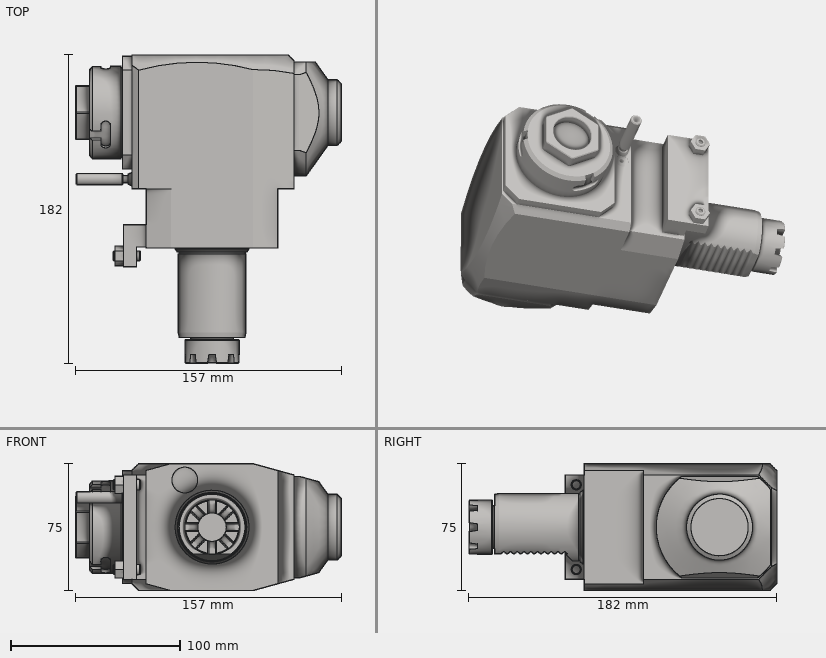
import cadquery as cq
import math


HEIGHT = 75.0
HALF_HEIGHT = HEIGHT / 2
BODY_LEFT = -47.3
BODY_RIGHT = 48.4
BODY_FRONT = 35.0
BODY_BACK = 114.0
BODY_EDGE_CHAMFER = 4.0
CORNER_CHAMFER = 3.4
BASE_HALF_WIDTH = 38.9
BEVEL_START_X = 24.2
BEVEL_ANGLE = 15.4
BEVEL_SLOPE = math.tan(math.radians(BEVEL_ANGLE))
BASE_BEVEL_DROP = (BASE_HALF_WIDTH - BEVEL_START_X) * BEVEL_SLOPE
CROWN_RADIUS = 180.0
CROWN_CENTER_X = -9.0
CROWN_DEPTH = 4.3
PLUG_X = -16.1
PLUG_Z = 27.8
PLUG_RADIUS = 7.6
PLUG_DEPTH = 0.8

SPINDLE_Y = 80.0
PLATE_SIDE = 66.8
PLATE_LEFT = -52.9
PLATE_CHAMFER = 8.3
COLLAR_LEFT = -72.4
COLLAR_RIGHT = -53.8
COLLAR_RADIUS = 27.4
COLLAR_CHAMFER_LENGTH = 1.8
COLLAR_CHAMFER_DEPTH = 2.1
COLLAR_NECK_RADIUS = 26.6
SLOT_X = -62.8
SLOT_WIDTH = 5.6
SLOT_LENGTH = 18.3
SLOT_DEPTH = 2.2
SLOT_COUNT = 3
NOTCH_WIDTH = 6.0
HEX_LEFT = -80.6
HEX_FLATS = 32.0
HEX_CHAMFER = 0.5
HEX_CORNER_RADIUS = 18.2
BORE_RADIUS = 11.6
BORE_CHAMFER = 0.4
BORE_DEPTH = 6.0

COVER_HALF_HEIGHT = 30.0
COVER_BACK = 110.0
COVER_RADIUS = 37.4
COVER_BEVEL_X = 51.6
COVER_RIM_X = 55.6
COVER_NECK_X = 68.3
COVER_TIP_X = 76.4
COVER_NECK_RADIUS = 19.5
COVER_TIP_CHAMFER = 2.6

FLANGE_RADIUS = 21.8
FLANGE_STRAIGHT = 0.6
FLANGE_LENGTH = 2.4
FLANGE_END_RADIUS = 20.5
RELIEF_RADIUS = 19.7
RELIEF_END = 3.4
SHANK_RADIUS = 20.0
SHANK_LENGTH = 52.8
SHANK_CHAMFER_LENGTH = 2.8
SHANK_CHAMFER_DEPTH = 0.6
RACK_FLAT_Z = -15.8
RACK_RAMP_START = 5.0
RACK_FIRST_GROOVE = 11.4
RACK_PITCH = 4.0
RACK_GROOVES = 10
RACK_GROOVE_DEPTH = 1.4
RACK_GROOVE_WIDTH = 3.4

NUT_NECK_RADIUS = 12.7
NUT_START = 54.0
NUT_END = 68.0
NUT_RADIUS = 16.1
NUT_CHAMFER = 0.5
NUT_SLOT_COUNT = 8
NUT_SLOT_DEPTH = 5.1
NUT_SLOT_MOUTH = 5.4
NUT_SLOT_FLOOR = 3.8
CORE_RADIUS = 8.4
CORE_RECESS = 0.3

PIN_Y = 40.7
PIN_Z = 17.6
PIN_LEFT = -80.2
PIN_RIGHT = -52.6
PIN_RADIUS = 3.4
PIN_CHAMFER = 0.6
PIN_NECK_RADIUS = 2.2
PIN_NECK_END = -49.6
PIN_FOOT_START_RADIUS = 3.0
PIN_FOOT_RADIUS = 4.0
PIN_BORE_RADIUS = 2.2
PIN_BORE_DEPTH = 2.2
SCREW_Z = 10.3
SCREW_RADIUS = 4.0
SCREW_RECESS = 0.2
SCREW_DIMPLE_RADIUS = 1.3
SCREW_DIMPLE_DEPTH = 1.5

BRACKET_LEFT = -52.3
BRACKET_LEG_RIGHT = -44.5
BRACKET_TOP = 13.9
BRACKET_STEP_Y = 0.6
BRACKET_END = -11.1
BRACKET_HALF_HEIGHT = 30.8
BOLT_Y = -4.6
BOLT_Z = 25.0
BOLT_NUT_FLATS = 10.2
BOLT_NUT_LEFT = -57.4
BOLT_LEFT = -58.4
BOLT_RIGHT = -42.2
BOLT_RADIUS = 3.0
BOLT_CHAMFER = 0.6
BOLT_SOCKET_RADIUS = 1.5
BOLT_SOCKET_DEPTH = 1.5

CLEARANCE = 50.0


def revolve_about_x(profile, y, z=0.0):
    """Solid of revolution about an X-parallel axis; profile holds (x, radius) points."""
    solid = cq.Workplane("XY").polyline(profile).close()
    return solid.revolve(360, (0, 0, 0), (1, 0, 0)).translate((0, y, z))


def x_cylinder(x_start, x_end, radius, y, z=0.0):
    plane = cq.Workplane("YZ", origin=(x_start, y, z))
    return plane.circle(radius).extrude(x_end - x_start)


def hexagon_across_flats(x_start, x_end, flats, y, z, rotation):
    """Hexagonal prism along X; rotation in degrees, two corners point along Y at zero."""
    corner_diameter = flats / math.cos(math.pi / 6)
    prism = cq.Workplane("YZ").polygon(6, corner_diameter).extrude(x_end - x_start)
    prism = prism.rotate((0, 0, 0), (1, 0, 0), rotation)
    return prism.translate((x_start, y, z))


def mirrored_outline(upper_points):
    """Close an outline by mirroring its upper points across the first coordinate axis."""
    return upper_points + [(a, -b) for a, b in reversed(upper_points)]


def block(x_start, x_end, y_start, y_end, half_height):
    outline = cq.Workplane("XY").moveTo(x_start, y_start).lineTo(x_end, y_start)
    outline = outline.lineTo(x_end, y_end).lineTo(x_start, y_end).close()
    return outline.extrude(half_height, both=True)


def crown_limit(side):
    """Large cylinder whose wall rounds off the back edge of one face at 45 degrees."""
    plane = cq.Plane(
        origin=(CROWN_CENTER_X, BODY_BACK - CROWN_DEPTH, side * HALF_HEIGHT),
        xDir=(1, 0, 0),
        normal=(0, -side, 1),
    )
    circle = cq.Workplane(plane).center(0, -CROWN_RADIUS).circle(CROWN_RADIUS)
    return circle.extrude(2 * BODY_BACK, both=True)


def make_housing():
    right_drop = (BODY_RIGHT - BEVEL_START_X) * BEVEL_SLOPE
    body_outline = mirrored_outline([
        (BODY_LEFT, HALF_HEIGHT - BODY_EDGE_CHAMFER),
        (BODY_LEFT + BODY_EDGE_CHAMFER, HALF_HEIGHT),
        (BEVEL_START_X, HALF_HEIGHT),
        (BODY_RIGHT, HALF_HEIGHT - right_drop),
    ])
    body = cq.Workplane("XZ", origin=(0, BODY_BACK, 0)).polyline(body_outline).close()
    body = body.extrude(BODY_BACK - BODY_FRONT)
    corner = cq.Workplane("XY").polyline([
        (BODY_RIGHT - CORNER_CHAMFER, BODY_BACK),
        (BODY_RIGHT, BODY_BACK - CORNER_CHAMFER),
        (BODY_RIGHT, BODY_BACK),
    ]).close().extrude(HEIGHT, both=True)
    body = body.cut(corner)
    for side in (1, -1):
        body = body.intersect(crown_limit(side))

    base_outline = mirrored_outline([
        (-BASE_HALF_WIDTH, HALF_HEIGHT - BASE_BEVEL_DROP),
        (-BEVEL_START_X, HALF_HEIGHT),
        (BEVEL_START_X, HALF_HEIGHT),
        (BASE_HALF_WIDTH, HALF_HEIGHT - BASE_BEVEL_DROP),
    ])
    base = cq.Workplane("XZ", origin=(0, BODY_FRONT, 0)).polyline(base_outline).close()
    base = base.extrude(BODY_FRONT)
    plug = cq.Workplane("XZ", origin=(PLUG_X, PLUG_DEPTH, PLUG_Z)).circle(PLUG_RADIUS).extrude(PLUG_DEPTH)
    return body.union(base.cut(plug))


def make_collar():
    collar = revolve_about_x([
        (COLLAR_LEFT, 0),
        (COLLAR_LEFT, COLLAR_RADIUS - COLLAR_CHAMFER_DEPTH),
        (COLLAR_LEFT + COLLAR_CHAMFER_LENGTH, COLLAR_RADIUS),
        (COLLAR_RIGHT, COLLAR_RADIUS),
        (COLLAR_RIGHT, COLLAR_NECK_RADIUS),
        (PLATE_LEFT, COLLAR_NECK_RADIUS),
        (PLATE_LEFT, 0),
    ], SPINDLE_Y)
    floor_radius = COLLAR_RADIUS - SLOT_DEPTH
    core = x_cylinder(COLLAR_LEFT, PLATE_LEFT, floor_radius, SPINDLE_Y)
    notch_length = SLOT_X - COLLAR_LEFT
    for index in range(SLOT_COUNT):
        slot = cq.Workplane("XZ").center(SLOT_X, 0).slot2D(SLOT_LENGTH, SLOT_WIDTH, 90).extrude(-CLEARANCE)
        notch = cq.Workplane("XZ").center(SLOT_X - notch_length / 2, 0)
        notch = notch.rect(notch_length, NOTCH_WIDTH).extrude(-CLEARANCE)
        tool = slot.union(notch).rotate((0, 0, 0), (1, 0, 0), index * 360 / SLOT_COUNT)
        collar = collar.cut(tool.translate((0, SPINDLE_Y, 0)).cut(core))
    return collar


def make_spindle_side():
    plate = cq.Workplane("YZ", origin=(PLATE_LEFT, SPINDLE_Y, 0)).rect(PLATE_SIDE, PLATE_SIDE)
    plate = plate.extrude(BODY_LEFT - PLATE_LEFT).edges("|X").chamfer(PLATE_CHAMFER)
    hexagon = hexagon_across_flats(HEX_LEFT, COLLAR_LEFT, HEX_FLATS, SPINDLE_Y, z=0, rotation=90)
    hexagon = hexagon.faces("<X").chamfer(HEX_CHAMFER)
    hexagon = hexagon.intersect(x_cylinder(HEX_LEFT, COLLAR_LEFT, HEX_CORNER_RADIUS, SPINDLE_Y))
    bore = revolve_about_x([
        (HEX_LEFT, 0),
        (HEX_LEFT, BORE_RADIUS + BORE_CHAMFER),
        (HEX_LEFT + BORE_CHAMFER, BORE_RADIUS),
        (HEX_LEFT + BORE_DEPTH, BORE_RADIUS),
        (HEX_LEFT + BORE_DEPTH, 0),
    ], SPINDLE_Y)
    return plate.union(make_collar()).union(hexagon.cut(bore))


def make_cover():
    cover = revolve_about_x([
        (BODY_RIGHT, 0),
        (BODY_RIGHT, COVER_RADIUS),
        (COVER_RIM_X, COVER_RADIUS),
        (COVER_NECK_X, COVER_NECK_RADIUS),
        (COVER_TIP_X - COVER_TIP_CHAMFER, COVER_NECK_RADIUS),
        (COVER_TIP_X, COVER_NECK_RADIUS - COVER_TIP_CHAMFER),
        (COVER_TIP_X, 0),
    ], SPINDLE_Y)
    tip_drop = (COVER_TIP_X - COVER_BEVEL_X) * BEVEL_SLOPE
    limit_outline = mirrored_outline([
        (BODY_RIGHT, COVER_HALF_HEIGHT),
        (COVER_BEVEL_X, COVER_HALF_HEIGHT),
        (COVER_TIP_X, COVER_HALF_HEIGHT - tip_drop),
    ])
    limit = cq.Workplane("XZ", origin=(0, COVER_BACK, 0)).polyline(limit_outline).close()
    return cover.intersect(limit.extrude(COVER_BACK))


def cut_rack(shank):
    """Flat with a 45 degree run-out and a row of V grooves on the underside of the shank."""
    flat = cq.Workplane("YZ").polyline([
        (-RACK_RAMP_START, -FLANGE_RADIUS),
        (-RACK_RAMP_START - FLANGE_RADIUS - RACK_FLAT_Z, RACK_FLAT_Z),
        (-SHANK_LENGTH, RACK_FLAT_Z),
        (-SHANK_LENGTH, -FLANGE_RADIUS),
    ]).close().extrude(CLEARANCE, both=True)
    shank = shank.cut(flat)
    for index in range(RACK_GROOVES):
        y = -RACK_FIRST_GROOVE - index * RACK_PITCH
        groove = cq.Workplane("YZ").polyline([
            (y - RACK_GROOVE_WIDTH / 2, RACK_FLAT_Z),
            (y, RACK_FLAT_Z + RACK_GROOVE_DEPTH),
            (y + RACK_GROOVE_WIDTH / 2, RACK_FLAT_Z),
        ]).close().extrude(CLEARANCE, both=True)
        shank = shank.cut(groove)
    return shank


def make_shank():
    profile = cq.Workplane("XY").polyline([
        (0, 0),
        (FLANGE_RADIUS, 0),
        (FLANGE_RADIUS, -FLANGE_STRAIGHT),
        (FLANGE_END_RADIUS, -FLANGE_LENGTH),
        (RELIEF_RADIUS, -FLANGE_LENGTH),
        (RELIEF_RADIUS, -RELIEF_END),
        (SHANK_RADIUS, -RELIEF_END),
        (SHANK_RADIUS, -SHANK_LENGTH + SHANK_CHAMFER_LENGTH),
        (SHANK_RADIUS - SHANK_CHAMFER_DEPTH, -SHANK_LENGTH),
        (0, -SHANK_LENGTH),
    ]).close()
    return cut_rack(profile.revolve(360, (0, 0, 0), (0, 1, 0)))


def make_shank_nut():
    nut = cq.Workplane("XZ", origin=(0, -NUT_START, 0)).circle(NUT_RADIUS)
    nut = nut.extrude(NUT_END - NUT_START).faces("<Y or >Y").chamfer(NUT_CHAMFER)
    slot_profile = [
        (-NUT_SLOT_FLOOR / 2, -NUT_END + NUT_SLOT_DEPTH),
        (NUT_SLOT_FLOOR / 2, -NUT_END + NUT_SLOT_DEPTH),
        (NUT_SLOT_MOUTH / 2, -NUT_END),
        (-NUT_SLOT_MOUTH / 2, -NUT_END),
    ]
    for index in range(NUT_SLOT_COUNT):
        slot = cq.Workplane("XY").polyline(slot_profile).close().extrude(CLEARANCE)
        nut = nut.cut(slot.rotate((0, 0, 0), (0, 1, 0), index * 360 / NUT_SLOT_COUNT))
    core_end = NUT_END - CORE_RECESS
    recess = cq.Workplane("XZ", origin=(0, -core_end, 0)).circle(CORE_RADIUS).extrude(CORE_RECESS)
    core = cq.Workplane("XZ", origin=(0, -NUT_START, 0)).circle(CORE_RADIUS).extrude(core_end - NUT_START)
    neck = cq.Workplane("XZ", origin=(0, -SHANK_LENGTH, 0)).circle(NUT_NECK_RADIUS)
    neck = neck.extrude(NUT_START - SHANK_LENGTH)
    return nut.cut(recess).union(core).union(neck)


def make_pin():
    return revolve_about_x([
        (PIN_LEFT + PIN_BORE_DEPTH, 0),
        (PIN_LEFT, PIN_BORE_RADIUS),
        (PIN_LEFT, PIN_RADIUS - PIN_CHAMFER),
        (PIN_LEFT + PIN_CHAMFER, PIN_RADIUS),
        (PIN_RIGHT - PIN_CHAMFER, PIN_RADIUS),
        (PIN_RIGHT, PIN_RADIUS - PIN_CHAMFER),
        (PIN_RIGHT, PIN_NECK_RADIUS),
        (PIN_NECK_END, PIN_NECK_RADIUS),
        (PIN_NECK_END, PIN_FOOT_START_RADIUS),
        (BODY_LEFT, PIN_FOOT_RADIUS),
        (BODY_LEFT, 0),
    ], PIN_Y, PIN_Z)


def make_screw_recess():
    recess_floor = BODY_LEFT + SCREW_RECESS
    return revolve_about_x([
        (BODY_LEFT, 0),
        (BODY_LEFT, SCREW_RADIUS),
        (recess_floor, SCREW_RADIUS),
        (recess_floor, SCREW_DIMPLE_RADIUS),
        (recess_floor + SCREW_DIMPLE_DEPTH, 0),
    ], PIN_Y, SCREW_Z)


def make_bolt(z):
    bolt = x_cylinder(BOLT_LEFT, BOLT_RIGHT, BOLT_RADIUS, BOLT_Y, z).faces("<X or >X").chamfer(BOLT_CHAMFER)
    nut = hexagon_across_flats(BOLT_NUT_LEFT, BRACKET_LEFT, BOLT_NUT_FLATS, BOLT_Y, z, rotation=0)
    socket = x_cylinder(BOLT_LEFT, BOLT_LEFT + BOLT_SOCKET_DEPTH, BOLT_SOCKET_RADIUS, BOLT_Y, z)
    return bolt.union(nut).cut(socket)


def make_bracket():
    foot = block(BRACKET_LEFT, -BASE_HALF_WIDTH, BRACKET_STEP_Y, BRACKET_TOP, BRACKET_HALF_HEIGHT)
    leg = block(BRACKET_LEFT, BRACKET_LEG_RIGHT, BRACKET_END, BRACKET_TOP, BRACKET_HALF_HEIGHT)
    bracket = foot.union(leg)
    for side in (1, -1):
        bracket = bracket.union(make_bolt(side * BOLT_Z))
    return bracket


result = make_housing().cut(make_screw_recess())
for feature in (
    make_spindle_side(),
    make_cover(),
    make_shank(),
    make_shank_nut(),
    make_pin(),
    make_bracket(),
):
    result = result.union(feature)